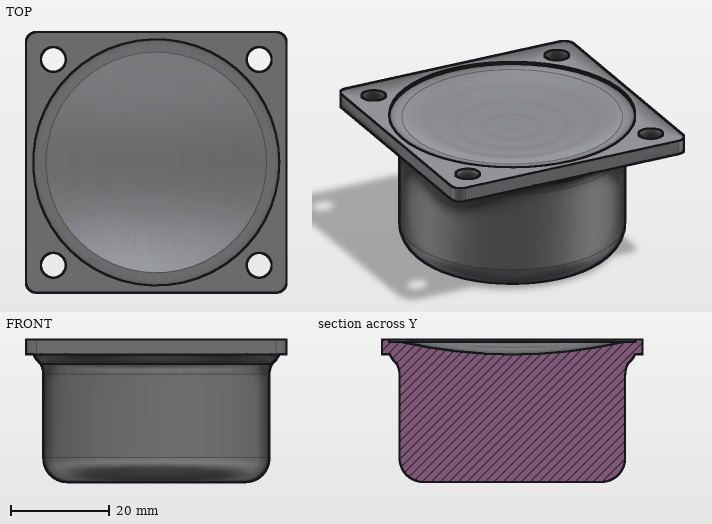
import cadquery as cq
import math

flange_side = 53.0
flange_thickness = 3.0
flange_corner_radius = 2.2
hole_diameter = 5.0
hole_spacing = 41.8

overall_height = 29.0
can_radius = 46.0 / 2
can_bottom_fillet = 5.0

neck_top_radius = 50.0 / 2
neck_top_angle = math.radians(24)
cone_angle = math.radians(45)
shoulder_curve_radius = 5.0
cone_height = 0.45
neck_bottom_z = -7.05

recess_radius = 50.0 / 2
recess_depth = 0.5
dish_radius = 44.8 / 2
dish_depth = 2.5


def make_flange():
    plate = (
        cq.Workplane("XY")
        .rect(flange_side, flange_side)
        .extrude(-flange_thickness)
        .edges("|Z")
        .fillet(flange_corner_radius)
    )
    return (
        plate.faces(">Z")
        .workplane()
        .rect(hole_spacing, hole_spacing, forConstruction=True)
        .vertices()
        .hole(hole_diameter)
    )


def make_can():
    """Revolved can: rounded shoulder, short cone, hollow-curved neck, straight wall, rounded bottom."""
    def shoulder_point(angle):
        inward = shoulder_curve_radius * (math.cos(neck_top_angle) - math.cos(angle))
        down = shoulder_curve_radius * (math.sin(angle) - math.sin(neck_top_angle))
        return (neck_top_radius - inward, -flange_thickness - down)

    shoulder_end = shoulder_point(cone_angle)
    cone_end = (
        shoulder_end[0] - cone_height * math.tan(cone_angle),
        shoulder_end[1] - cone_height,
    )
    profile = (
        cq.Workplane("XZ")
        .moveTo(0, -flange_thickness)
        .lineTo(neck_top_radius, -flange_thickness)
        .threePointArc(shoulder_point((neck_top_angle + cone_angle) / 2), shoulder_end)
        .lineTo(*cone_end)
    )
    neck_width = cone_end[0] - can_radius
    neck_height = cone_end[1] - neck_bottom_z
    neck_curve_radius = (neck_width**2 + neck_height**2) / (2 * neck_width)
    half_sweep = math.asin(neck_height / neck_curve_radius) / 2
    neck_middle = (
        can_radius + neck_curve_radius * (1 - math.cos(half_sweep)),
        neck_bottom_z + neck_curve_radius * math.sin(half_sweep),
    )
    can = (
        profile.threePointArc(neck_middle, (can_radius, neck_bottom_z))
        .lineTo(can_radius, -overall_height)
        .lineTo(0, -overall_height)
        .close()
        .revolve(360, (0, 0, 0), (0, 1, 0))
    )
    return can.faces("<Z").edges().fillet(can_bottom_fillet)


def make_recess():
    """Shallow round step with a spherical dish in its floor."""
    step = cq.Workplane("XY").circle(recess_radius).extrude(-recess_depth)
    sphere_radius = (dish_radius**2 + dish_depth**2) / (2 * dish_depth)
    dish_bottom_z = -recess_depth - dish_depth
    half_angle = math.asin(dish_radius / sphere_radius) / 2
    dish_middle = (
        sphere_radius * math.sin(half_angle),
        dish_bottom_z + sphere_radius * (1 - math.cos(half_angle)),
    )
    dish = (
        cq.Workplane("XZ")
        .moveTo(0, -recess_depth)
        .lineTo(dish_radius, -recess_depth)
        .threePointArc(dish_middle, (0, dish_bottom_z))
        .close()
        .revolve(360, (0, 0, 0), (0, 1, 0))
    )
    return step.union(dish)


result = make_flange().union(make_can()).cut(make_recess())